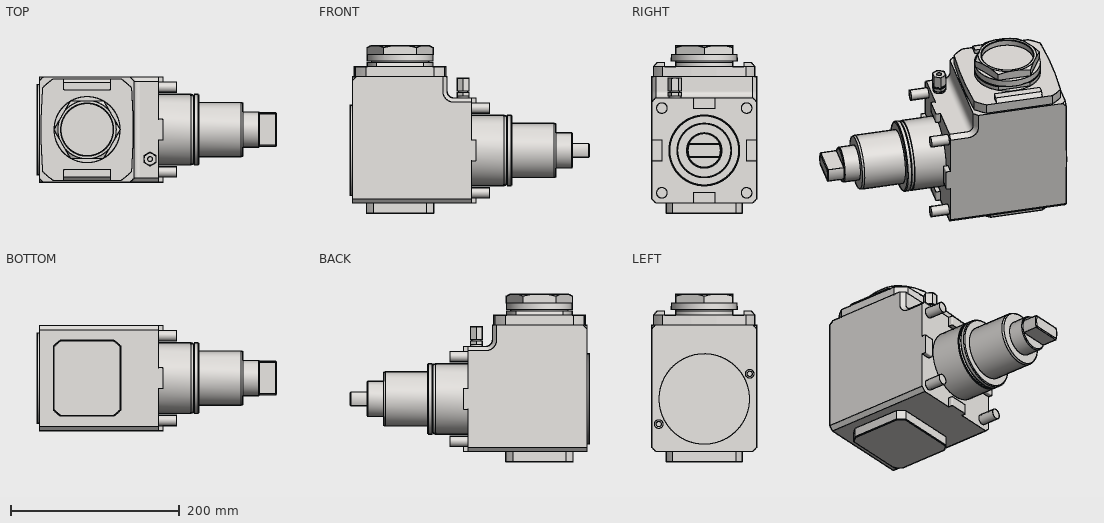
import cadquery as cq
import math


BODY_LENGTH = 141.5
HALF_WIDTH = 62.5
BODY_BOTTOM = -62.5
BODY_TOP = 87.5
STEP_LENGTH = 29.0
STEP_TOP = 62.5
STEP_RADIUS = 7.5
EDGE_CHAMFER = 5.0
CORNER_LEG = 4.5

COVER_RADIUS = 53.7
COVER_THICKNESS = 2.8
SCREW_Y = 54.0
SCREW_Z = 29.8
SCREW_HEAD_RADIUS = 5.0
SCREW_HEAD_SINK = 0.3
SCREW_SOCKET_RADIUS = 3.0
SCREW_SOCKET_DEPTH = 0.5

SPINDLE_X = -85.0
PLATE_HEIGHT = 12.0
PLATE_TOP = BODY_TOP + PLATE_HEIGHT
PLATE_CORNER_RADIUS = 72.5
PLATE_HALF_Y = 60.2
PLATE_HALF_X = 54.5
PLATE_END_HALF_X = 52.8
PLATE_FLAT_HALF_Y = 15.0

RIB_LENGTH = 56.0
RIB_WIDTH = 13.0
RIB_HEIGHT = 5.0
RIB_BEVEL = 4.3
RIB_CORNER_RADIUS = 1.5

PAD_HEIGHT = 12.5
PAD_HALF_X = 40.0
PAD_HALF_Y = 45.2
PAD_CORNER_RADIUS = 55.0
PAD_CHAMFER = 0.9

FLANGE_RADIUS = 42.0
FLANGE_END = 47.7
FLANGE_CHAMFER = 1.0
GROOVE_START = 38.3
GROOVE_END = 42.3
GROOVE_RADIUS = 39.8
RING_RADIUS = 41.5
RING_WIDTH = 2.8
BARREL_RADIUS = 32.5
BARREL_END = 100.0
BARREL_TAPER_LENGTH = 2.5
BARREL_TAPER_DROP = 0.9
NECK_RADIUS = 21.0
NECK_END = 119.5
NECK_CHAMFER = 1.0
TANG_RADIUS = 20.2
TANG_END = 139.7
TANG_THICKNESS = 16.5
TANG_CHAMFER = 1.0

KEY_WIDTH = 25.0
KEY_DEPTH = 12.5
KEY_PROJECTION = 5.5
KEY_EDGE_RADIUS = 1.5
PIN_OFFSET = 50.3
PIN_RADIUS = 6.2
PIN_LENGTH = 21.3

NIPPLE_X = -10.2
NIPPLE_Y = -35.0
NIPPLE_FLATS = 14.2
NIPPLE_NECK_RADIUS = 5.7
NIPPLE_NUT_BOTTOM = 64.8
NIPPLE_NUT_TOP = 69.0
NIPPLE_CAP_BOTTOM = 70.5
NIPPLE_TOP = 85.8
NIPPLE_HOLE_RADIUS = 2.8
NIPPLE_HOLE_DEPTH = 5.7

SPINDLE_RADIUS = 39.2
SPINDLE_FLATS = 68.2
SPINDLE_TOP = 104.5
NECK_GROOVE_RADIUS = SPINDLE_FLATS / 2
NUT_FLANGE_BOTTOM = 106.0
NUT_HEX_BOTTOM = 114.0
NUT_TOP = 124.5
NUT_CROWN_RADIUS = 34.6
NUT_CROWN_DROP = 2.5
NUT_BORE_RADIUS = 31.0
NUT_BORE_DEPTH = 7.5
NUT_BORE_CHAMFER = 0.5

SPAN = 284.0
MARGIN = 2.8


def level(z, x=0.0, y=0.0):
    return cq.Workplane("XY", origin=(x, y, z))


def station(x, y=0.0, z=0.0):
    return cq.Workplane("YZ", origin=(x, y, z))


def hexagon(plane, across_flats, height, turn=0.0):
    points = [
        (across_flats / math.sqrt(3) * math.cos(math.radians(turn + 60 * i)),
         across_flats / math.sqrt(3) * math.sin(math.radians(turn + 60 * i)))
        for i in range(6)
    ]
    return plane.polyline(points).close().extrude(height)


def box_around(x_low, x_high, y, z_low, z_high):
    return cq.selectors.BoxSelector(
        (x_low - MARGIN, y - MARGIN, z_low - MARGIN),
        (x_high + MARGIN, y + MARGIN, z_high + MARGIN),
    )


def make_block():
    profile = [
        (-BODY_LENGTH, BODY_BOTTOM),
        (0, BODY_BOTTOM),
        (0, STEP_TOP),
        (-STEP_LENGTH, STEP_TOP),
        (-STEP_LENGTH, BODY_TOP),
        (-BODY_LENGTH, BODY_TOP),
    ]
    block = cq.Workplane("XZ").polyline(profile).close().extrude(HALF_WIDTH, both=True)
    step_corner = box_around(-STEP_LENGTH, -STEP_LENGTH, 0, STEP_TOP, STEP_TOP)
    block = block.edges(step_corner).fillet(STEP_RADIUS)
    for side in (-1, 1):
        y = side * HALF_WIDTH
        step_edges = box_around(-STEP_LENGTH, 0, y, STEP_TOP, BODY_TOP - 2 * MARGIN)
        block = block.edges(step_edges).chamfer(EDGE_CHAMFER)
        bottom_edge = box_around(-BODY_LENGTH, -2 * MARGIN, y, BODY_BOTTOM, BODY_BOTTOM)
        block = block.edges(bottom_edge).chamfer(EDGE_CHAMFER)
        cut_plane = cq.Plane(origin=(-BODY_LENGTH + CORNER_LEG, y, BODY_TOP), normal=(-1, side, 1))
        cutter_width = 4 * CORNER_LEG
        cutter = cq.Workplane(cut_plane).rect(cutter_width, cutter_width).extrude(CORNER_LEG)
        block = block.cut(cutter)
    return block


def make_cover():
    return station(-BODY_LENGTH).circle(COVER_RADIUS).extrude(-COVER_THICKNESS)


def make_cover_screw_recesses():
    places = [(-SCREW_Y, SCREW_Z), (SCREW_Y, -SCREW_Z)]
    face = station(-BODY_LENGTH).pushPoints(places)
    heads = face.circle(SCREW_HEAD_RADIUS).extrude(SCREW_HEAD_SINK)
    sockets = face.circle(SCREW_SOCKET_RADIUS).extrude(SCREW_SOCKET_DEPTH)
    return heads.union(sockets)


def make_top_plate():
    upper = [
        (PLATE_HALF_X, PLATE_FLAT_HALF_Y),
        (PLATE_END_HALF_X, math.sqrt(PLATE_CORNER_RADIUS**2 - PLATE_END_HALF_X**2)),
        (PLATE_END_HALF_X, PLATE_HALF_Y),
    ]
    right = [(x, -y) for x, y in reversed(upper)] + upper
    outline = right + [(-x, -y) for x, y in right]
    plate = level(BODY_TOP, SPINDLE_X).polyline(outline).close().extrude(PLATE_HEIGHT)
    round_blank = level(BODY_TOP, SPINDLE_X).circle(PLATE_CORNER_RADIUS).extrude(PLATE_HEIGHT)
    return plate.intersect(round_blank)


def make_rib():
    inner = -PLATE_HALF_Y + RIB_WIDTH
    rib_top = PLATE_TOP + RIB_HEIGHT
    profile = [
        (-PLATE_HALF_Y, PLATE_TOP),
        (inner, PLATE_TOP),
        (inner, rib_top),
        (-PLATE_HALF_Y + RIB_BEVEL, rib_top),
    ]
    rib = station(SPINDLE_X - RIB_LENGTH / 2).polyline(profile).close().extrude(RIB_LENGTH)
    return rib.edges("|Z").fillet(RIB_CORNER_RADIUS)


def make_bottom_pad():
    bottom = level(BODY_BOTTOM - PAD_HEIGHT, SPINDLE_X)
    pad = bottom.rect(2 * PAD_HALF_X, 2 * PAD_HALF_Y).extrude(PAD_HEIGHT)
    pad = pad.intersect(bottom.circle(PAD_CORNER_RADIUS).extrude(PAD_HEIGHT))
    return pad.faces("<Z").edges().chamfer(PAD_CHAMFER)


def make_shank():
    ring_end = GROOVE_START + RING_WIDTH
    profile = (
        cq.Workplane("XZ")
        .lineTo(0, FLANGE_RADIUS)
        .lineTo(GROOVE_START, FLANGE_RADIUS)
        .lineTo(GROOVE_START, GROOVE_RADIUS)
        .threePointArc((GROOVE_START + RING_WIDTH / 2, RING_RADIUS), (ring_end, GROOVE_RADIUS))
        .lineTo(GROOVE_END, GROOVE_RADIUS)
        .lineTo(GROOVE_END, FLANGE_RADIUS)
        .lineTo(FLANGE_END - FLANGE_CHAMFER, FLANGE_RADIUS)
        .lineTo(FLANGE_END, FLANGE_RADIUS - FLANGE_CHAMFER)
        .lineTo(FLANGE_END, BARREL_RADIUS)
        .lineTo(BARREL_END - BARREL_TAPER_LENGTH, BARREL_RADIUS)
        .lineTo(BARREL_END, BARREL_RADIUS - BARREL_TAPER_DROP)
        .lineTo(BARREL_END, NECK_RADIUS)
        .lineTo(NECK_END - NECK_CHAMFER, NECK_RADIUS)
        .lineTo(NECK_END, NECK_RADIUS - NECK_CHAMFER)
        .lineTo(NECK_END, 0)
        .close()
    )
    return profile.revolve(360, (0, 0, 0), (1, 0, 0))


def make_tang():
    length = TANG_END - NECK_END
    tang = station(NECK_END).circle(TANG_RADIUS).extrude(length)
    tang = tang.intersect(station(NECK_END).rect(SPAN, TANG_THICKNESS).extrude(length))
    return tang.faces(">X").chamfer(TANG_CHAMFER)


def make_key():
    key = station(0, z=HALF_WIDTH - KEY_DEPTH / 2).rect(KEY_WIDTH, KEY_DEPTH).extrude(KEY_PROJECTION)
    return key.faces(">X").edges("|Z").fillet(KEY_EDGE_RADIUS)


def make_pin(y, z):
    return station(0, y, z).circle(PIN_RADIUS).extrude(PIN_LENGTH)


def make_nipple():
    def cylinder(bottom, top, radius):
        return level(bottom, NIPPLE_X, NIPPLE_Y).circle(radius).extrude(top - bottom)

    def hex_prism(bottom, top):
        return hexagon(level(bottom, NIPPLE_X, NIPPLE_Y), NIPPLE_FLATS, top - bottom, turn=30)

    nipple = cylinder(STEP_TOP, NIPPLE_NUT_BOTTOM, NIPPLE_FLATS / 2)
    nipple = nipple.union(hex_prism(NIPPLE_NUT_BOTTOM, NIPPLE_NUT_TOP))
    nipple = nipple.union(cylinder(NIPPLE_NUT_TOP, NIPPLE_CAP_BOTTOM, NIPPLE_NECK_RADIUS))
    nipple = nipple.union(hex_prism(NIPPLE_CAP_BOTTOM, NIPPLE_TOP))
    return nipple.cut(cylinder(NIPPLE_TOP - NIPPLE_HOLE_DEPTH, NIPPLE_TOP, NIPPLE_HOLE_RADIUS))


def make_spindle_bore():
    return level(BODY_TOP, SPINDLE_X).circle(SPINDLE_RADIUS).extrude(PLATE_HEIGHT)


def make_housing():
    housing = make_block().union(make_cover()).cut(make_cover_screw_recesses())
    housing = housing.union(make_top_plate()).cut(make_spindle_bore())
    rib = make_rib()
    housing = housing.union(rib).union(rib.mirror("XZ"))
    housing = housing.union(make_bottom_pad())
    housing = housing.union(make_shank()).union(make_tang())
    key = make_key()
    for quarter in range(4):
        housing = housing.union(key.rotate((0, 0, 0), (1, 0, 0), 90 * quarter))
    for y in (-PIN_OFFSET, PIN_OFFSET):
        for z in (-PIN_OFFSET, PIN_OFFSET):
            housing = housing.union(make_pin(y, z))
    return housing.union(make_nipple())


def make_nut_hex():
    height = NUT_TOP - NUT_HEX_BOTTOM
    bottom = level(NUT_HEX_BOTTOM, SPINDLE_X)
    corner_radius = SPINDLE_FLATS / math.sqrt(3)
    crown = (
        cq.Workplane("XZ", origin=(SPINDLE_X, 0, NUT_HEX_BOTTOM))
        .lineTo(corner_radius, 0)
        .lineTo(corner_radius, height - NUT_CROWN_DROP)
        .lineTo(NUT_CROWN_RADIUS, height)
        .lineTo(0, height)
        .close()
        .revolve(360, (0, 0, 0), (0, 1, 0))
    )
    return hexagon(bottom, SPINDLE_FLATS, height).intersect(crown)


def make_spindle():
    def cylinder(bottom, top, radius):
        return level(bottom, SPINDLE_X).circle(radius).extrude(top - bottom)

    collar_height = SPINDLE_TOP - PLATE_TOP
    collar = cylinder(PLATE_TOP, SPINDLE_TOP, SPINDLE_RADIUS)
    collar = collar.intersect(level(PLATE_TOP, SPINDLE_X).rect(SPAN, SPINDLE_FLATS).extrude(collar_height))
    spindle = make_spindle_bore().union(collar)
    spindle = spindle.union(cylinder(SPINDLE_TOP, NUT_FLANGE_BOTTOM, NECK_GROOVE_RADIUS))
    spindle = spindle.union(cylinder(NUT_FLANGE_BOTTOM, NUT_HEX_BOTTOM, SPINDLE_RADIUS))
    spindle = spindle.union(make_nut_hex())
    spindle = spindle.cut(cylinder(NUT_TOP - NUT_BORE_DEPTH, NUT_TOP, NUT_BORE_RADIUS))
    rim = cq.selectors.RadiusNthSelector(0)
    return spindle.faces(">Z").edges(rim).chamfer(NUT_BORE_CHAMFER)


housing = make_housing()
spindle = make_spindle()

result = cq.Compound.makeCompound([housing.val(), spindle.val()])